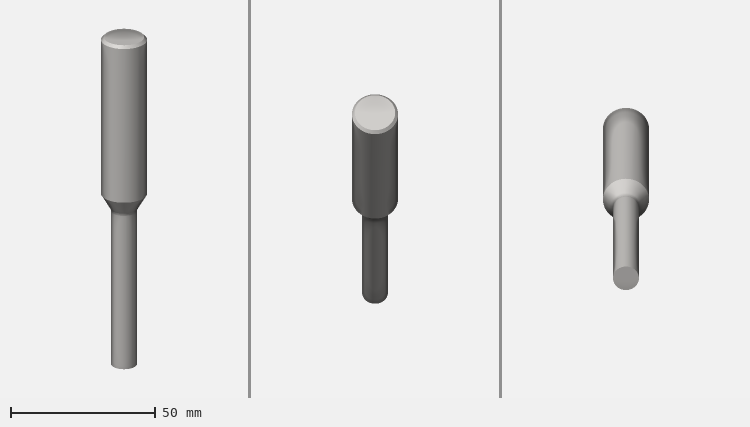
import cadquery as cq
import math

total_length = 124.25
body_diameter = 16.0
shank_diameter = 9.0
body_length = 59.4
top_chamfer = 1.0
taper_half_angle = 30.0
neck_fillet_radius = 2.0

body_radius = body_diameter / 2
shank_radius = shank_diameter / 2
taper_length = (body_radius - shank_radius) / math.tan(math.radians(taper_half_angle))
taper_top_z = total_length - body_length
neck_z = taper_top_z - taper_length


def make_stepped_pin():
    """Revolve the half profile: shank, taper, body and chamfered top."""
    return (
        cq.Workplane("XZ")
        .moveTo(0, 0)
        .lineTo(shank_radius, 0)
        .lineTo(shank_radius, neck_z)
        .lineTo(body_radius, taper_top_z)
        .lineTo(body_radius, total_length - top_chamfer)
        .lineTo(body_radius - top_chamfer, total_length)
        .lineTo(0, total_length)
        .close()
        .revolve(360, (0, 0, 0), (0, 1, 0))
    )


def round_neck(pin):
    """Fillet the concave edge where the taper meets the shank."""
    neck_edge = cq.selectors.BoxSelector(
        (-body_radius, -body_radius, neck_z - neck_fillet_radius),
        (body_radius, body_radius, neck_z + neck_fillet_radius),
    )
    return pin.edges(neck_edge).fillet(neck_fillet_radius)


result = round_neck(make_stepped_pin())